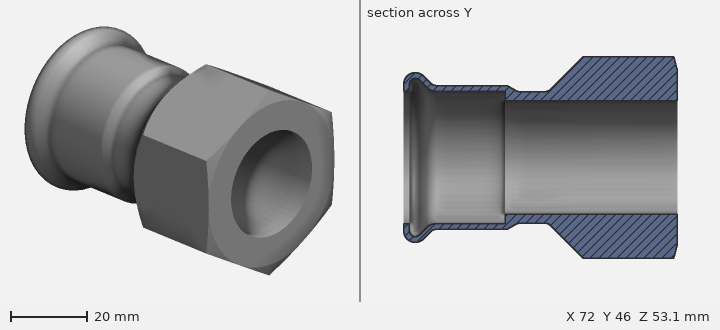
import cadquery as cq
import math

LENGTH = 72.0
HEX_ACROSS_FLATS = 46.0
HEX_CORNER_RADIUS = HEX_ACROSS_FLATS / math.sqrt(3)
HEX_START = 37.45
END_CHAMFER_LENGTH = 0.9

BEAD_CENTER_RADIUS = 19.3
BEAD_ROUND = 3.1
SOCKET_RADIUS = 38.0 / 2
NECK_RADIUS = 34.8 / 2
BEAD_BEND = 1.7
STEP_BEND = 1.95
BEAD_ANGLE = 45.0
STEP_ANGLE = 30.0
SOCKET_END = 26.65
NECK_END = 37.2

WALL = SOCKET_RADIUS - NECK_RADIUS
SOCKET_BORE_RADIUS = SOCKET_RADIUS - WALL
BORE_RADIUS = 14.8

BEAD_CENTER = (BEAD_ROUND, BEAD_CENTER_RADIUS)
BEAD_BEND_RADIAL = SOCKET_RADIUS + BEAD_BEND
BEAD_CONE_DROP = (
    BEAD_CENTER_RADIUS - BEAD_BEND_RADIAL
    + (BEAD_ROUND + BEAD_BEND) * math.cos(math.radians(BEAD_ANGLE))
)
BEAD_BEND_AXIAL = (
    BEAD_ROUND
    + (BEAD_ROUND + BEAD_BEND) * math.sin(math.radians(BEAD_ANGLE))
    + BEAD_CONE_DROP / math.tan(math.radians(BEAD_ANGLE))
)
BEAD_BEND_CENTER = (BEAD_BEND_AXIAL, BEAD_BEND_RADIAL)


def on_circle(center, radius, degrees):
    """Point on a circle in the (axial, radial) plane, angle from +X."""
    angle = math.radians(degrees)
    return (center[0] + radius * math.cos(angle), center[1] + radius * math.sin(angle))


def make_outer_body():
    """Revolved outside: bead, socket, step, neck and the flare that trims the hexagon."""
    upper_bend = (SOCKET_END, SOCKET_RADIUS - STEP_BEND)
    upper_end = on_circle(upper_bend, STEP_BEND, 90 - STEP_ANGLE)
    lower_radial = NECK_RADIUS + STEP_BEND
    lower_start_radius = on_circle((0, lower_radial), STEP_BEND, 270 - STEP_ANGLE)[1]
    step_length = (upper_end[1] - lower_start_radius) / math.tan(math.radians(STEP_ANGLE))
    lower_axial = upper_end[0] + step_length + STEP_BEND * math.sin(math.radians(STEP_ANGLE))
    lower_bend = (lower_axial, lower_radial)

    flare_bend = (NECK_END, NECK_RADIUS + STEP_BEND)
    flare_start = on_circle(flare_bend, STEP_BEND, -45)
    flare_end = (flare_start[0] + HEX_CORNER_RADIUS - flare_start[1], HEX_CORNER_RADIUS)

    profile = (
        cq.Workplane("XY")
        .moveTo(0, 0)
        .lineTo(0, BEAD_CENTER_RADIUS)
        .threePointArc(
            on_circle(BEAD_CENTER, BEAD_ROUND, 120),
            on_circle(BEAD_CENTER, BEAD_ROUND, 90 - BEAD_ANGLE),
        )
        .lineTo(*on_circle(BEAD_BEND_CENTER, BEAD_BEND, 270 - BEAD_ANGLE))
        .threePointArc(
            on_circle(BEAD_BEND_CENTER, BEAD_BEND, 270 - BEAD_ANGLE / 2),
            (BEAD_BEND_AXIAL, SOCKET_RADIUS),
        )
        .lineTo(SOCKET_END, SOCKET_RADIUS)
        .threePointArc(on_circle(upper_bend, STEP_BEND, 90 - STEP_ANGLE / 2), upper_end)
        .lineTo(*on_circle(lower_bend, STEP_BEND, 270 - STEP_ANGLE))
        .threePointArc(on_circle(lower_bend, STEP_BEND, 270 - STEP_ANGLE / 2), (lower_axial, NECK_RADIUS))
        .lineTo(NECK_END, NECK_RADIUS)
        .threePointArc(on_circle(flare_bend, STEP_BEND, -67.5), flare_start)
        .lineTo(*flare_end)
        .lineTo(LENGTH - END_CHAMFER_LENGTH, HEX_CORNER_RADIUS)
        .lineTo(LENGTH, HEX_ACROSS_FLATS / 2)
        .lineTo(LENGTH, 0)
        .close()
    )
    return profile.revolve(360, (0, 0, 0), (1, 0, 0))


def make_hex_limit():
    """Hexagonal prism with two flats facing +Y and -Y, corners at +Z and -Z, around the right end.

    A plain cylinder of the same radius covers the tube to its left.
    """
    corners = [on_circle((0, 0), HEX_CORNER_RADIUS, 30 + 60 * i) for i in range(6)]
    hexagon = cq.Workplane("YZ").workplane(offset=HEX_START).polyline(corners).close()
    hexagon = hexagon.extrude(LENGTH - HEX_START)
    tube_envelope = cq.Workplane("YZ").circle(HEX_CORNER_RADIUS).extrude(HEX_START)
    return hexagon.union(tube_envelope)


def make_bore():
    """Revolved inside: lip, seal groove offset from the bead, socket bore and through bore."""
    groove_round = BEAD_ROUND - WALL
    groove_bend = BEAD_BEND + WALL
    profile = (
        cq.Workplane("XY")
        .moveTo(0, 0)
        .lineTo(0, SOCKET_BORE_RADIUS)
        .lineTo(WALL, SOCKET_BORE_RADIUS)
        .lineTo(WALL, BEAD_CENTER_RADIUS)
        .threePointArc(
            on_circle(BEAD_CENTER, groove_round, 120),
            on_circle(BEAD_CENTER, groove_round, 90 - BEAD_ANGLE),
        )
        .lineTo(*on_circle(BEAD_BEND_CENTER, groove_bend, 270 - BEAD_ANGLE))
        .threePointArc(
            on_circle(BEAD_BEND_CENTER, groove_bend, 270 - BEAD_ANGLE / 2),
            (BEAD_BEND_AXIAL, SOCKET_BORE_RADIUS),
        )
        .lineTo(SOCKET_END, SOCKET_BORE_RADIUS)
        .lineTo(SOCKET_END, BORE_RADIUS)
        .lineTo(LENGTH, BORE_RADIUS)
        .lineTo(LENGTH, 0)
        .close()
    )
    return profile.revolve(360, (0, 0, 0), (1, 0, 0))


result = make_outer_body().intersect(make_hex_limit()).cut(make_bore())